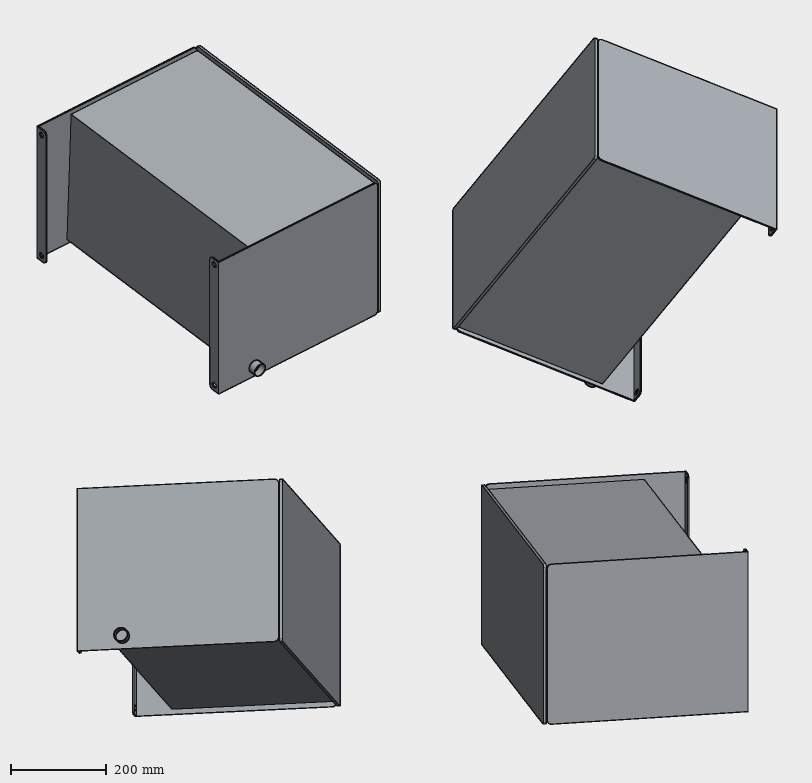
import cadquery as cq

total_length = 618.0
depth = 439.0
height = 350.0
spout_length = 18.0
cabinet_width = total_length - spout_length

sheet = 3.0
corner_radius = 9.0
flange_width = 29.5
hole_diameter = 13.0
hole_inset = 15.0

cover_thickness = 6.0
cover_corner_radius = 5.5
cover_gap = 2.0
panel_depth = depth - cover_thickness - cover_gap

box_recess = 11.0
box_front_bottom = 79.0
box_front_top = 90.0

spout_diameter = 30.0
spout_bore = 27.0
spout_y = 97.0
spout_z = 26.5


def side_panel(x_start):
    """Vertical side sheet with rounded rear corners."""
    panel = cq.Workplane("XY").box(sheet, panel_depth, height, centered=False)
    return panel.edges("|X and >Y").fillet(corner_radius).translate((x_start, 0, 0))


def mounting_flange(x_start, inner_side):
    """Front flange with rounded corners on its inner side."""
    flange = cq.Workplane("XY").box(flange_width, sheet, height, centered=False)
    flange = flange.edges("|Y and " + inner_side).fillet(corner_radius)
    return flange.translate((x_start, 0, 0))


def mounting_holes():
    """Four drills through the corners of the front flanges."""
    centres = [
        (x, z)
        for x in (hole_inset, cabinet_width - hole_inset)
        for z in (hole_inset, height - hole_inset)
    ]
    return cq.Workplane("XZ").pushPoints(centres).circle(hole_diameter / 2).extrude(-sheet)


def inner_box():
    """Solid box between the side panels, reaching back to the rear cover."""
    box_back = depth - cover_thickness
    return (
        cq.Workplane("YZ", origin=(sheet, 0, 0))
        .moveTo(box_front_bottom, box_recess)
        .lineTo(box_back, box_recess)
        .lineTo(box_back, height - box_recess)
        .lineTo(box_front_top, height - box_recess)
        .close()
        .extrude(cabinet_width - 2 * sheet)
    )


def rear_cover():
    """Full-size rear plate with rounded corners."""
    cover = cq.Workplane("XY").box(cabinet_width, cover_thickness, height, centered=False)
    return cover.edges("|Y").fillet(cover_corner_radius).translate((0, depth - cover_thickness, 0))


def outlet_spout():
    """Short open tube on the outside of the right-hand panel."""
    return (
        cq.Workplane("YZ", origin=(cabinet_width, 0, 0))
        .center(spout_y, spout_z)
        .circle(spout_diameter / 2)
        .circle(spout_bore / 2)
        .extrude(spout_length)
    )


result = (
    inner_box()
    .union(side_panel(0))
    .union(side_panel(cabinet_width - sheet))
    .union(mounting_flange(0, ">X"))
    .union(mounting_flange(cabinet_width - flange_width, "<X"))
    .union(rear_cover())
    .union(outlet_spout())
    .cut(mounting_holes())
)